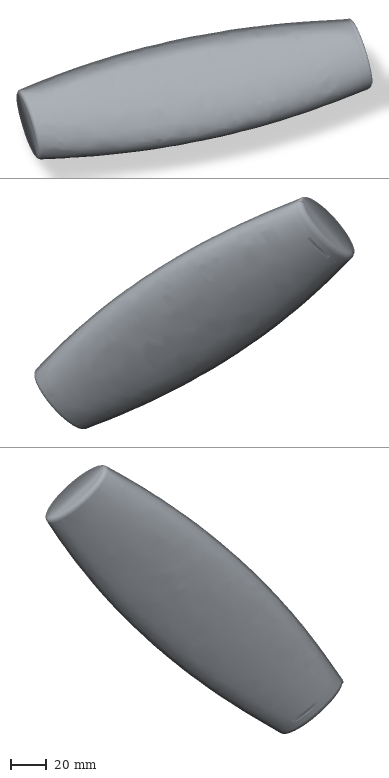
import cadquery as cq
import math

LENGTH = 194.0
WIDTH = 72.5
HEIGHT = 31.8

REAR_END = LENGTH / 2
FRONT_END = -LENGTH / 2
BODY_JOINT = 76.8
CAP_JOINT = 90.2

WIDEST_Y = 0.0
THICKEST_Y = -14.5
WIDTH_ARC_RADIUS = 364.7
HEIGHT_ARC_RADIUS = 3608.5
SECTION_COUNT = 9
FRONT_FILLET = 2.3

REAR_HALF_WIDTH = 23.7
REAR_HALF_HEIGHT = 14.2
REAR_FILLET = 2.7

LIP_START = 94.3
LIP_CREST = 95.6
LIP_RISE = 0.4
LIP_FILLET = 1.2

NOTCH_WIDTH = 2.0
NOTCH_ROOF_Z = -13.4


def arc_half_size(y, full_size, crown_y, radius):
    """Half size at y of a bulge that reaches full_size at crown_y."""
    sag = radius - math.sqrt(radius ** 2 - (y - crown_y) ** 2)
    return full_size / 2 - sag


def body_half_sizes(y):
    """Half width and half height of the body's elliptical section at y."""
    half_width = arc_half_size(y, WIDTH, WIDEST_Y, WIDTH_ARC_RADIUS)
    half_height = arc_half_size(y, HEIGHT, THICKEST_Y, HEIGHT_ARC_RADIUS)
    return half_width, half_height


def taper_half_sizes(y):
    """Half width and half height on the straight taper from the body joint to the rear end."""
    along = (y - BODY_JOINT) / (REAR_END - BODY_JOINT)
    joint_width, joint_height = body_half_sizes(BODY_JOINT)
    half_width = joint_width + along * (REAR_HALF_WIDTH - joint_width)
    half_height = joint_height + along * (REAR_HALF_HEIGHT - joint_height)
    return half_width, half_height


def elliptical_section(y, half_sizes):
    """Ellipse wire across the grip at y."""
    return cq.Workplane("XZ", origin=(0, y, 0)).ellipse(*half_sizes).wire().val()


def tapered_piece(start_y, end_y):
    """Solid on the straight taper between two Y positions."""
    sections = [elliptical_section(y, taper_half_sizes(y)) for y in (start_y, end_y)]
    return cq.Workplane(cq.Solid.makeLoft(sections, True))


def make_body():
    """Barrel-shaped grip with a rounded front rim."""
    step = (BODY_JOINT - FRONT_END) / (SECTION_COUNT - 1)
    stations = [FRONT_END + i * step for i in range(SECTION_COUNT)]
    sections = [elliptical_section(y, body_half_sizes(y)) for y in stations]
    grip = cq.Workplane(cq.Solid.makeLoft(sections))
    return grip.faces("<Y").edges().fillet(FRONT_FILLET)


def make_notch():
    """Cutter for the fingernail notch, running across X below the notch roof."""
    notch_depth = HEIGHT / 2 + NOTCH_ROOF_Z
    return (
        cq.Workplane("XY", origin=(0, CAP_JOINT, NOTCH_ROOF_Z))
        .rect(WIDTH, NOTCH_WIDTH)
        .extrude(-notch_depth)
    )


def half_space(direction):
    """Block covering the whole grip above Z = 0 (direction 1) or below it (direction -1)."""
    return cq.Workplane("XY").rect(WIDTH, 2 * LENGTH).extrude(direction * HEIGHT)


def make_cap_upper():
    """Upper half of the cap: a taper, then a lip that flares to a crest and rounds off."""
    crest_width, crest_height = taper_half_sizes(LIP_CREST)
    crest_sizes = (crest_width, crest_height + LIP_RISE)
    flare_sections = [
        elliptical_section(LIP_START, taper_half_sizes(LIP_START)),
        elliptical_section(LIP_CREST, crest_sizes),
    ]
    flare = cq.Workplane(cq.Solid.makeLoft(flare_sections, True))
    rim = (
        cq.Workplane("XZ", origin=(0, LIP_CREST, 0))
        .ellipse(*crest_sizes)
        .extrude(LIP_CREST - REAR_END)
        .faces(">Y")
        .edges()
        .fillet(LIP_FILLET)
    )
    whole = tapered_piece(CAP_JOINT, LIP_START).union(flare).union(rim)
    return whole.intersect(half_space(1))


def make_cap_lower():
    """Lower half of the cap: a taper with a plain rounded rear rim."""
    whole = tapered_piece(CAP_JOINT, REAR_END).faces(">Y").edges().fillet(REAR_FILLET)
    return whole.intersect(half_space(-1))


def make_collar():
    """Tapered piece between the body and the cap, with its half of the notch."""
    return tapered_piece(BODY_JOINT, CAP_JOINT).cut(make_notch())


def make_cap():
    """End cap joined from its lipped upper and plain lower halves, with its half of the notch."""
    return make_cap_upper().union(make_cap_lower()).cut(make_notch())


body = make_body()
collar = make_collar()
cap = make_cap()

result = cq.Compound.makeCompound([piece.solids().val() for piece in (body, collar, cap)])